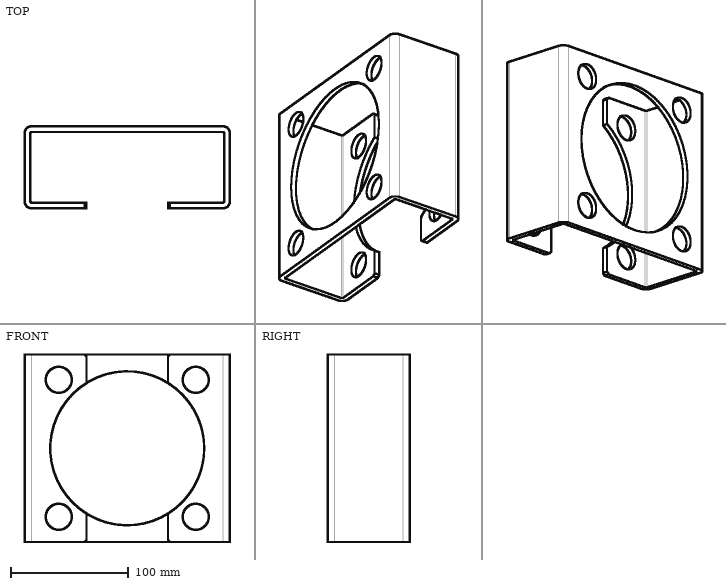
import cadquery as cq
import math

width = 175.0
depth = 70.0
height = 160.0

sheet = 5.0
bend_radius = 6.0
inner_bend_radius = bend_radius - sheet

lip_gap = 69.0
lip_chamfer = 2.0

bore_diameter = 131.0
bolt_hole_diameter = 22.0
bolt_circle_diameter = 165.0
bolt_pitch = bolt_circle_diameter / math.sqrt(2)


def rounded_block(x_size, y_size, radius):
    """Full-height block with its vertical edges rounded."""
    return cq.Workplane("XY").box(x_size, y_size, height).edges("|Z").fillet(radius)


def bent_channel():
    """C-shaped sheet channel, open towards -Y between the lips."""
    outside = rounded_block(width, depth, bend_radius)
    inside = rounded_block(width - 2 * sheet, depth - 2 * sheet, inner_bend_radius)
    gap = cq.Workplane("XY").box(lip_gap, 2 * sheet, height).translate((0, -depth / 2, 0))
    return outside.cut(inside).cut(gap)


def chamfer_lip_corners(body):
    """Chamfer the top and bottom corners at the free edge of each lip."""
    for side in (-1, 1):
        for end in (-1, 1):
            corner = (side * lip_gap / 2, -depth / 2 + sheet / 2, end * height / 2)
            body = body.edges(cq.selectors.NearestToPointSelector(corner)).chamfer(lip_chamfer)
    return body


def openings():
    """Central bore and four bolt holes, running through along Y."""
    face = cq.Workplane("XZ", origin=(0, depth / 2, 0))
    bore = face.circle(bore_diameter / 2).extrude(depth)
    bolt_holes = (
        face.rect(bolt_pitch, bolt_pitch, forConstruction=True)
        .vertices()
        .circle(bolt_hole_diameter / 2)
        .extrude(depth)
    )
    return bore.union(bolt_holes)


result = chamfer_lip_corners(bent_channel()).cut(openings())